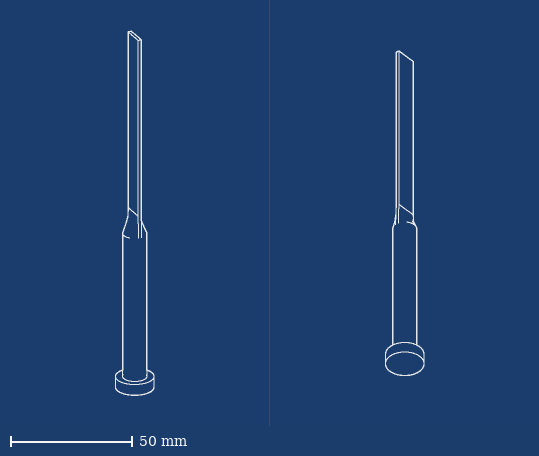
import cadquery as cq
import math

total_length = 160.0
head_diameter = 16.0
head_thickness = 5.0
shank_diameter = 10.0
blade_length = 80.0
blade_width = 9.5
blade_thickness = 1.5
transition_length = 10.0

blade_start = total_length - blade_length
shank_top = blade_start - transition_length


def blade_outline(z):
    """Rectangular blade section at height z."""
    half_width = blade_width / 2
    half_thickness = blade_thickness / 2
    return (
        cq.Workplane("XY", origin=(0, 0, z))
        .moveTo(half_width, -half_thickness)
        .lineTo(half_width, half_thickness)
        .lineTo(-half_width, half_thickness)
        .lineTo(-half_width, -half_thickness)
        .close()
    )


def shank_outline(z):
    """Shank circle split into four arcs, one for each side of the blade."""
    radius = shank_diameter / 2
    corner_y = blade_thickness / 2
    corner_x = math.sqrt(radius**2 - corner_y**2)
    return (
        cq.Workplane("XY", origin=(0, 0, z))
        .moveTo(corner_x, -corner_y)
        .threePointArc((radius, 0), (corner_x, corner_y))
        .threePointArc((0, radius), (-corner_x, corner_y))
        .threePointArc((-radius, 0), (-corner_x, -corner_y))
        .threePointArc((0, -radius), (corner_x, -corner_y))
        .close()
    )


def make_transition():
    """Ruled blend from the round shank to the flat blade."""
    lower = shank_outline(shank_top).wire().val()
    upper = blade_outline(blade_start).wire().val()
    return cq.Workplane("XY").add(cq.Solid.makeLoft([lower, upper], True))


head = cq.Workplane("XY").circle(head_diameter / 2).extrude(head_thickness)
shank = cq.Workplane("XY").circle(shank_diameter / 2).extrude(shank_top)
blade = blade_outline(blade_start).extrude(blade_length)

result = head.union(shank).union(make_transition()).union(blade)